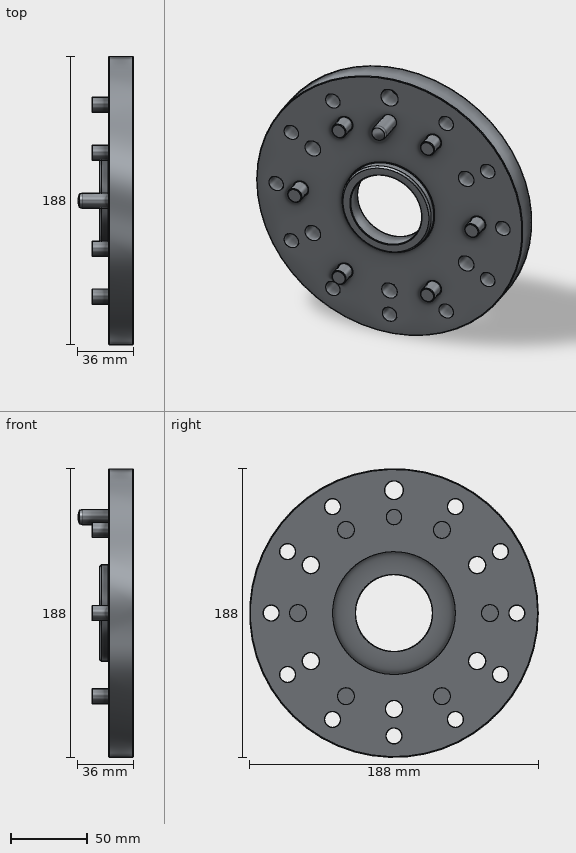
import cadquery as cq
import math

disc_diameter = 188.0
disc_thickness = 16.0
disc_edge_chamfer = 0.5

collar_diameter = 63.0
collar_height = 6.0
collar_chamfer = 1.2
collar_base_chamfer = 0.5

bore_diameter = 50.0
bore_length = 12.0
bore_mouth_chamfer = 0.5
recess_diameter = 80.0

outer_ring_radius = 80.0
outer_hole_count = 12
outer_hole_diameter = 10.2
top_angle = 90
top_hole_diameter = 12.0

inner_ring_radius = 62.5
inner_hole_diameter = 11.0
short_pin_angles = [0, 60, 120, 180, 240, 300]
open_hole_angles = [30, 150, 210, 270, 330]

short_pin_diameter = 10.0
short_pin_projection = 11.0
short_pin_chamfer = 0.5

long_pin_diameter = 10.0
long_pin_projection = 20.0
long_pin_taper_length = 2.0
long_pin_taper_depth = 0.5
long_pin_dome_height = 1.0


def ring_point(radius, angle):
    """Y and Z of a place on a ring, with the angle measured from +Y towards +Z."""
    turn = math.radians(angle)
    return (radius * math.cos(turn), radius * math.sin(turn))


def cylinder(start, end, diameter, centre=(0, 0)):
    """A cylinder along X from X = start to X = end around a (Y, Z) centre."""
    plane = cq.Workplane("YZ", origin=(start, 0, 0))
    return plane.center(*centre).circle(diameter / 2).extrude(end - start)


def make_flange_blank():
    """The disc with its collar, bore and back recess, turned around X."""
    disc_radius = disc_diameter / 2
    collar_radius = collar_diameter / 2
    bore_radius = bore_diameter / 2
    recess_radius = recess_diameter / 2
    bore_end = bore_length - collar_height
    half_section = [
        (-collar_height + bore_mouth_chamfer, bore_radius),
        (-collar_height, bore_radius + bore_mouth_chamfer),
        (-collar_height, collar_radius - collar_chamfer),
        (-collar_height + collar_chamfer, collar_radius),
        (-collar_base_chamfer, collar_radius),
        (0, collar_radius + collar_base_chamfer),
        (0, disc_radius - disc_edge_chamfer),
        (disc_edge_chamfer, disc_radius),
        (disc_thickness - disc_edge_chamfer, disc_radius),
        (disc_thickness, disc_radius - disc_edge_chamfer),
        (disc_thickness, recess_radius),
        (bore_end, recess_radius),
        (bore_end, bore_radius),
    ]
    outline = cq.Workplane("XY").polyline(half_section).close()
    return outline.revolve(360, (0, 0, 0), (1, 0, 0))


def make_flange():
    flange = make_flange_blank()

    for index in range(outer_hole_count):
        angle = index * 360 // outer_hole_count
        diameter = top_hole_diameter if angle == top_angle else outer_hole_diameter
        centre = ring_point(outer_ring_radius, angle)
        flange = flange.cut(cylinder(0, disc_thickness, diameter, centre))

    for angle in short_pin_angles + open_hole_angles:
        centre = ring_point(inner_ring_radius, angle)
        flange = flange.cut(cylinder(0, disc_thickness, inner_hole_diameter, centre))

    long_pin_centre = ring_point(inner_ring_radius, top_angle)
    return flange.cut(cylinder(0, disc_thickness, long_pin_diameter, long_pin_centre))


def make_short_pin(angle):
    centre = ring_point(inner_ring_radius, angle)
    shank = cylinder(0, disc_thickness, inner_hole_diameter, centre)
    end = cylinder(-short_pin_projection, 0, short_pin_diameter, centre)
    end = end.faces("<X").edges().chamfer(short_pin_chamfer)
    return shank.union(end)


def make_long_pin():
    pin_radius = long_pin_diameter / 2
    dome_radius = pin_radius - long_pin_taper_depth
    tip = -long_pin_projection
    taper_start = tip + long_pin_dome_height
    taper_end = taper_start + long_pin_taper_length
    sphere_radius = (dome_radius**2 + long_pin_dome_height**2) / (2 * long_pin_dome_height)
    half_angle = math.asin(dome_radius / sphere_radius) / 2
    dome_middle = (
        tip + sphere_radius * (1 - math.cos(half_angle)),
        sphere_radius * math.sin(half_angle),
    )
    outline = (
        cq.Workplane("XY")
        .moveTo(tip, 0)
        .threePointArc(dome_middle, (taper_start, dome_radius))
        .lineTo(taper_end, pin_radius)
        .lineTo(disc_thickness, pin_radius)
        .lineTo(disc_thickness, 0)
        .close()
    )
    pin = outline.revolve(360, (0, 0, 0), (1, 0, 0))
    centre_y, centre_z = ring_point(inner_ring_radius, top_angle)
    return pin.translate((0, centre_y, centre_z))


flange = make_flange()
short_pins = [make_short_pin(angle).val() for angle in short_pin_angles]
long_pin = make_long_pin()

result = cq.Compound.makeCompound([flange.val(), *short_pins, long_pin.val()])